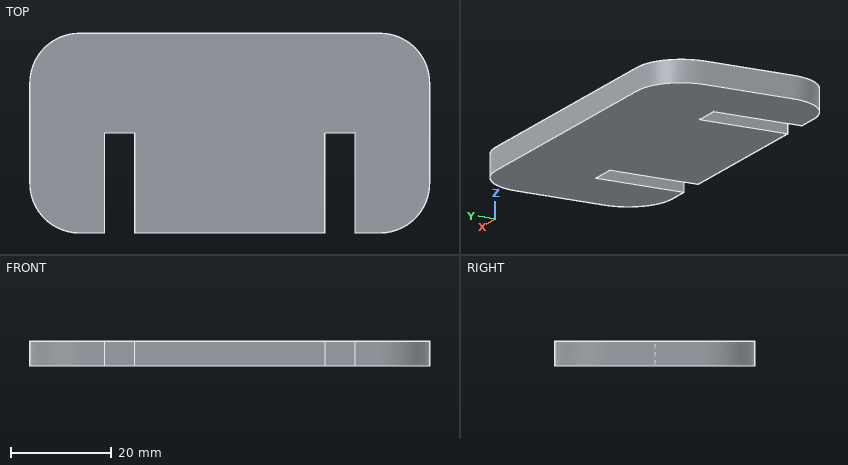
import cadquery as cq

length = 80.0
width = 40.0
thickness = 5.0
corner_radius = 10.0

slot_width = 6.0
slot_depth = width / 2
slot_spacing = 44.0


def make_plate():
    """Flat plate with rounded vertical corners, resting on Z = 0."""
    plate = cq.Workplane("XY").box(length, width, thickness, centered=(True, True, False))
    return plate.edges("|Z").fillet(corner_radius)


def make_slot(center_x):
    """Cutter for one square-ended slot running in from the front edge."""
    return (
        cq.Workplane("XY")
        .box(slot_width, slot_depth, thickness, centered=(True, False, False))
        .translate((center_x, -width / 2, 0))
    )


result = make_plate()
for side in (-1, 1):
    result = result.cut(make_slot(side * slot_spacing / 2))